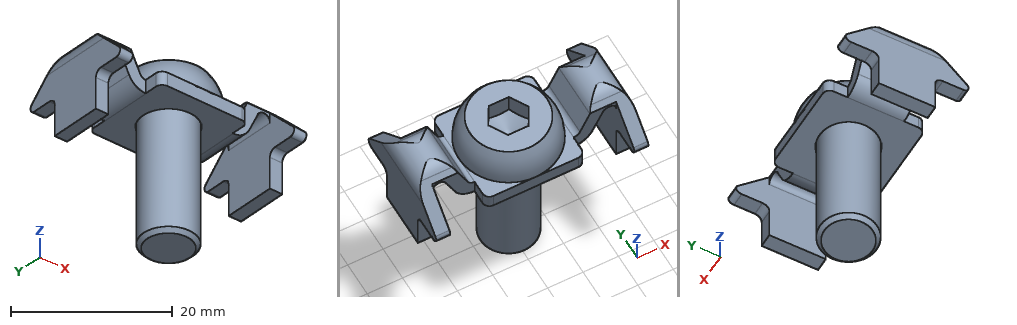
import cadquery as cq
import math


sheet = 2.0
strip_width = 8.0
plate_size = 14.0
plate_corner_radius = 1.0
screw_hole_diameter = 8.2
clip_length = 30.0
clip_top = 5.15
leg_bottom = -7.65
inner_bend = 1.0
outer_bend = inner_bend + sheet

wing_span = 17.39
wing_bottom = -sheet
wing_slope = math.radians(43.6)
wing_tip_radius = 0.75
wing_crown_radius = 3.5
wing_crown_top = 5.19
leg_fillet = 1.0

thread_diameter = 8.0
screw_length = 20.0
end_chamfer = 0.6
head_radius = 7.0
head_height = 4.4
socket_across_flats = 5.0
socket_depth = 2.6
socket_cone_angle = math.radians(30)


def polar(center, radius, angle):
    """Point at the given angle on a circle."""
    return (center[0] + radius * math.cos(angle), center[1] + radius * math.sin(angle))


def make_bent_strip(depth):
    """One end of the strip, on the -X side: plate edge, sloped arm, hook and leg, swept along Y."""
    leg_outer = -clip_length / 2
    leg_inner = leg_outer + sheet
    hook = (leg_outer + outer_bend, clip_top - outer_bend)
    foot = (-plate_size / 2, inner_bend)

    foot_dx = foot[0] - hook[0]
    foot_dz = foot[1] - hook[1]
    tangent_cosine = (outer_bend + inner_bend) / math.hypot(foot_dx, foot_dz)
    arm_normal = math.atan2(foot_dz, foot_dx) + math.acos(tangent_cosine)
    hook_middle = (math.pi + arm_normal) / 2
    foot_normal = arm_normal + math.pi
    foot_middle = (foot_normal + 1.5 * math.pi) / 2

    return (
        cq.Workplane("XZ")
        .moveTo(leg_outer, leg_bottom)
        .lineTo(leg_outer, hook[1])
        .threePointArc(polar(hook, outer_bend, hook_middle), polar(hook, outer_bend, arm_normal))
        .lineTo(*polar(foot, inner_bend, foot_normal))
        .threePointArc(polar(foot, inner_bend, foot_middle), (foot[0], 0))
        .lineTo(foot[0], -sheet)
        .threePointArc(polar(foot, outer_bend, foot_middle), polar(foot, outer_bend, foot_normal))
        .lineTo(*polar(hook, inner_bend, arm_normal))
        .threePointArc(polar(hook, inner_bend, hook_middle), (leg_inner, hook[1]))
        .lineTo(leg_inner, leg_bottom)
        .close()
        .extrude(depth / 2, both=True)
    )


def make_wing_outline():
    """Arrow-shaped prism along X that trims a hooked end: crown, sloped sides, tips and narrow leg."""
    tip_center_y = wing_span / 2 - wing_tip_radius
    tip_center_z = wing_bottom + wing_tip_radius
    corner_y = tip_center_y + wing_tip_radius / math.tan(wing_slope / 2)
    shoulder_y = corner_y - (wing_crown_top - wing_bottom) / math.tan(wing_slope)
    half_leg = strip_width / 2

    right_half = [
        (shoulder_y, wing_crown_top),
        (corner_y, wing_bottom),
        (half_leg, wing_bottom),
        (half_leg, leg_bottom),
    ]
    left_half = [(-y, z) for y, z in reversed(right_half)]
    prism = cq.Workplane("YZ").polyline(right_half + left_half).close().extrude(clip_length / 2, both=True)

    corner_rounds = [
        (shoulder_y, wing_crown_top, wing_crown_radius),
        (corner_y, wing_bottom, wing_tip_radius),
        (half_leg, wing_bottom, leg_fillet),
    ]
    for side in (-1, 1):
        for y, z, radius in corner_rounds:
            corner = cq.selectors.NearestToPointSelector((0, side * y, z))
            prism = prism.edges("|X").edges(corner).fillet(radius)
    return prism


def make_clip():
    """Square plate with a clearance hole and a hooked end on both sides."""
    plate = (
        cq.Workplane("XY")
        .rect(plate_size, plate_size)
        .extrude(-sheet)
        .edges("|Z")
        .fillet(plate_corner_radius)
    )
    leg_slab = (
        cq.Workplane("XY")
        .workplane(offset=leg_bottom)
        .center((sheet - clip_length) / 2, 0)
        .rect(sheet, wing_span)
        .extrude(clip_top - leg_bottom)
    )
    wide_leg = make_bent_strip(wing_span).intersect(leg_slab)
    hooked_end = make_bent_strip(strip_width).union(wide_leg).intersect(make_wing_outline())

    body = plate
    for turn in (0, 180):
        body = body.union(hooked_end.rotate((0, 0, 0), (0, 0, 1), turn))
    hole = cq.Workplane("XY").circle(screw_hole_diameter / 2).extrude(-sheet)
    return body.cut(hole)


def make_screw():
    """Button head screw: spherical head, plain shank with a chamfered end, hexagon socket."""
    head_top_radius = math.sqrt(head_radius**2 - head_height**2)
    top_angle = math.asin(head_height / head_radius)
    shank_radius = thread_diameter / 2
    body = (
        cq.Workplane("XZ")
        .moveTo(0, -screw_length)
        .lineTo(shank_radius - end_chamfer, -screw_length)
        .lineTo(shank_radius, end_chamfer - screw_length)
        .lineTo(shank_radius, 0)
        .lineTo(head_radius, 0)
        .threePointArc(polar((0, 0), head_radius, top_angle / 2), (head_top_radius, head_height))
        .lineTo(0, head_height)
        .close()
        .revolve(360, (0, 0), (0, 1))
    )
    socket_radius = socket_across_flats / math.sqrt(3)
    cone_tip = head_height - socket_depth - socket_radius * math.tan(socket_cone_angle)
    hexagon = (
        cq.Workplane("XY")
        .workplane(offset=cone_tip)
        .polygon(6, 2 * socket_radius)
        .extrude(head_height - cone_tip)
    )
    drill = (
        cq.Workplane("XZ")
        .moveTo(0, cone_tip)
        .lineTo(socket_radius, head_height - socket_depth)
        .lineTo(socket_radius, head_height)
        .lineTo(0, head_height)
        .close()
        .revolve(360, (0, 0), (0, 1))
    )
    return body.cut(hexagon.intersect(drill))


clip = make_clip()
screw = make_screw()
result = cq.Compound.makeCompound([clip.val(), screw.val()])